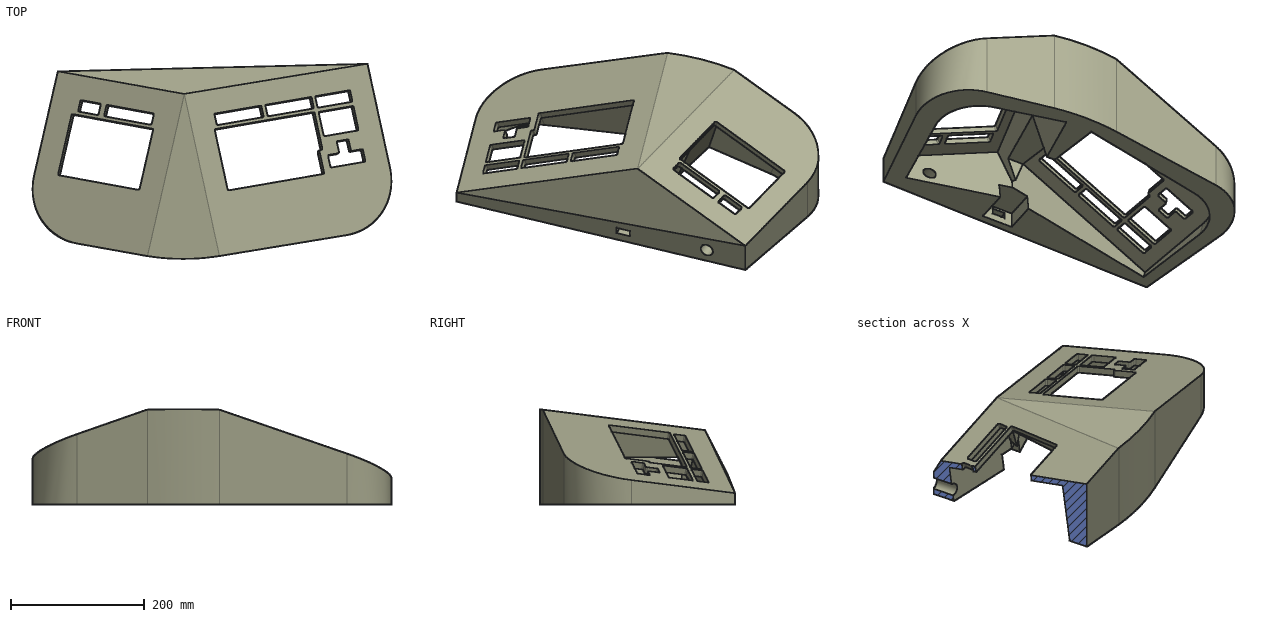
import cadquery as cq

apex = cq.Vector(226.5, 247.0, 111.5)
left_back = cq.Vector(37.5, 281.0, 45.5)
right_back = cq.Vector(501.0, 292.0, 17.0)
left_front = cq.Vector(171.5, 4.5, 142.5)
right_front = cq.Vector(279.0, 4.5, 142.5)
nose_y = 0.0

corner_radius = 89.5
prism_depth = 537.0
ground_size = 2148.0

panel_thickness = 10.0
back_margin = 14.5
ridge_margin = 19.5
side_margin = 12.5
front_margin = 43.0
hollow_corner_radius = 64.5
hollow_depth = 322.0

passage_start, passage_end = 182.5, 268.5
passage_front, passage_back = 107.5, 212.0
passage_height = 71.0

back_wall_reach = 107.5
recess_start, recess_end = 206.0, 256.0
recess_back = 274.0
recess_height = 26.5
slot_width, slot_height = 21.5, 9.5
slot_x, slot_z = 233.5, 17.0
cable_hole_diameter = 19.5
cable_hole_x, cable_hole_z = 99.5, 20.5

window_radius = 2.0
strip_top, strip_bottom = 37.0, 55.0
screen_start = 35.5
screen_top, screen_bottom = 60.0, 154.5
left_screen_end = 166.5
left_strips = [(40.0, 116.0), (125.0, 158.0)]
column_start, column_end = 202.0, 258.0
right_strips = [(40.5, 115.5), (122.0, 196.0), (column_start, column_end)]
right_screen_end = 195.5
right_screen_narrow_end = 190.0
right_screen_step = 118.0
square_top, square_bottom = 61.0, 99.0
tee_top, tee_shoulder, tee_bottom = 109.5, 128.0, 147.0
tee_stem_start, tee_stem_end = 220.0, 239.0


def panel_plane(back_corner, front_corner):
    """Frame of a panel: origin at the apex, x out along the back edge, y forward along the ridge."""
    ridge = (front_corner - apex).normalized()
    back_edge = back_corner - apex
    across = back_edge - ridge * back_edge.dot(ridge)
    return cq.Plane(origin=apex, xDir=across, normal=across.cross(ridge))


def rectangle(start, end, top, bottom):
    return [(start, top), (end, top), (end, bottom), (start, bottom)]


def prism_below(edges):
    """Vertical prism hanging from a closed loop of edges in a roof facet."""
    face = cq.Face.makeFromWires(cq.Wire.assembleEdges(edges))
    return cq.Workplane(cq.Solid.extrudeLinear(face, cq.Vector(0, 0, -prism_depth)))


def panel_body(back_corner, front_corner):
    """Solid under a panel whose outer front corner is rounded."""
    outer_corner = back_corner + front_corner - apex
    to_back = (back_corner - outer_corner).normalized()
    to_front = (front_corner - outer_corner).normalized()
    side_end = outer_corner + to_back * corner_radius
    front_end = outer_corner + to_front * corner_radius
    return prism_below([
        cq.Edge.makeLine(apex, back_corner),
        cq.Edge.makeLine(back_corner, side_end),
        cq.Edge.makeTangentArc(side_end, -to_back, front_end),
        cq.Edge.makeLine(front_end, front_corner),
        cq.Edge.makeLine(front_corner, apex),
    ])


def middle_body():
    """Solid under the middle facet, with a curved front edge."""
    front_middle = (left_front + right_front) * 0.5
    reach = (nose_y - apex.y) / (front_middle.y - apex.y)
    nose = apex + (front_middle - apex) * reach
    return prism_below([
        cq.Edge.makeLine(apex, left_front),
        cq.Edge.makeThreePointArc(left_front, nose, right_front),
        cq.Edge.makeLine(right_front, apex),
    ])


def back_body():
    """Solid under the sloping triangle at the back."""
    return prism_below([
        cq.Edge.makeLine(apex, left_back),
        cq.Edge.makeLine(left_back, right_back),
        cq.Edge.makeLine(right_back, apex),
    ])


def hollow(plane, width, length):
    """Hollow under a panel, leaving the panel itself and a margin all around."""
    inward = -1 if plane.zDir.z > 0 else 1
    end = width - side_margin
    bottom = length - front_margin
    block = (
        cq.Workplane(plane)
        .workplane(offset=inward * panel_thickness)
        .polyline(rectangle(ridge_margin, end, back_margin, bottom))
        .close()
        .extrude(inward * hollow_depth)
    )
    outer_corner = plane.toWorldCoords((end, bottom, inward * hollow_depth / 2))
    return block.edges(cq.NearestToPointSelector(outer_corner.toTuple())).fillet(hollow_corner_radius)


def window(plane, points):
    """Opening through a panel with rounded corners."""
    return (
        cq.Workplane(plane)
        .polyline(points)
        .close()
        .extrude(2 * panel_thickness, both=True)
        .edges(cq.ParallelDirSelector(plane.zDir))
        .fillet(window_radius)
    )


def ground_box(x_start, x_end, y_front, y_back, height):
    """Box standing on the ground."""
    box = cq.Workplane("XY").box(x_end - x_start, y_back - y_front, height, centered=False)
    return box.translate((x_start, y_front, 0))


body = middle_body().union(back_body())
body = body.union(panel_body(left_back, left_front))
body = body.union(panel_body(right_back, right_front))
body = body.cut(cq.Workplane("XY").rect(ground_size, ground_size).extrude(-2 * prism_depth))

left_windows = [rectangle(screen_start, left_screen_end, screen_top, screen_bottom)]
left_windows += [rectangle(start, end, strip_top, strip_bottom) for start, end in left_strips]

right_screen = [
    (screen_start, screen_top),
    (right_screen_end, screen_top),
    (right_screen_end, right_screen_step),
    (right_screen_narrow_end, right_screen_step),
    (right_screen_narrow_end, screen_bottom),
    (screen_start, screen_bottom),
]
tee = [
    (tee_stem_start, tee_top),
    (tee_stem_end, tee_top),
    (tee_stem_end, tee_shoulder),
    (column_end, tee_shoulder),
    (column_end, tee_bottom),
    (column_start, tee_bottom),
    (column_start, tee_shoulder),
    (tee_stem_start, tee_shoulder),
]
right_windows = [right_screen, tee, rectangle(column_start, column_end, square_top, square_bottom)]
right_windows += [rectangle(start, end, strip_top, strip_bottom) for start, end in right_strips]

for back_corner, front_corner, windows in (
    (left_back, left_front, left_windows),
    (right_back, right_front, right_windows),
):
    panel = panel_plane(back_corner, front_corner)
    body = body.cut(hollow(panel, (back_corner - apex).Length, (front_corner - apex).Length))
    for points in windows:
        body = body.cut(window(panel, points))

body = body.cut(ground_box(passage_start, passage_end, passage_front, passage_back, passage_height))

recess_front = recess_back - back_wall_reach
body = body.cut(ground_box(recess_start, recess_end, recess_front, recess_back, recess_height))
slot = cq.Workplane("XZ", origin=(slot_x, recess_front, slot_z)).rect(slot_width, slot_height)
body = body.cut(slot.extrude(-2 * back_wall_reach))
cable_hole = cq.Workplane("XZ", origin=(cable_hole_x, left_back.y - back_wall_reach / 2, cable_hole_z))
body = body.cut(cable_hole.circle(cable_hole_diameter / 2).extrude(-back_wall_reach))

result = body